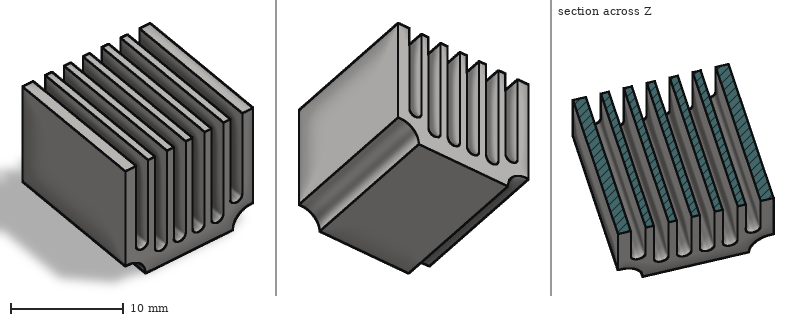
import cadquery as cq

length = 14.98
width = 14.44
height = 13.0

slot_count = 6
slot_pitch = 2.13
slot_width = 1.35
inner_slot_floor = 1.77
outer_slot_floor = 3.01

base_width = 9.85
relief_radius = 1.98


def make_body():
    """Block with a quarter-round relief and a short flat along each lower edge."""
    half_width = width / 2
    half_base = base_width / 2
    arc_center_y = half_base + relief_radius
    arc_offset = relief_radius * 0.5 ** 0.5
    arc_middle_y = arc_center_y - arc_offset
    return (
        cq.Workplane("YZ")
        .moveTo(-half_base, 0)
        .lineTo(half_base, 0)
        .threePointArc((arc_middle_y, arc_offset), (arc_center_y, relief_radius))
        .lineTo(half_width, relief_radius)
        .lineTo(half_width, height)
        .lineTo(-half_width, height)
        .lineTo(-half_width, relief_radius)
        .lineTo(-arc_center_y, relief_radius)
        .threePointArc((-arc_middle_y, arc_offset), (-half_base, 0))
        .close()
        .extrude(length / 2, both=True)
    )


def make_slot(center_y, floor):
    """Full-length slot with a semicircular floor, open at the top."""
    radius = slot_width / 2
    return (
        cq.Workplane("YZ")
        .moveTo(center_y - radius, height)
        .lineTo(center_y - radius, floor + radius)
        .threePointArc((center_y, floor), (center_y + radius, floor + radius))
        .lineTo(center_y + radius, height)
        .close()
        .extrude(length / 2, both=True)
    )


result = make_body()
for index in range(slot_count):
    slot_y = (index - (slot_count - 1) / 2) * slot_pitch
    is_outermost = index in (0, slot_count - 1)
    slot_floor = outer_slot_floor if is_outermost else inner_slot_floor
    result = result.cut(make_slot(slot_y, slot_floor))